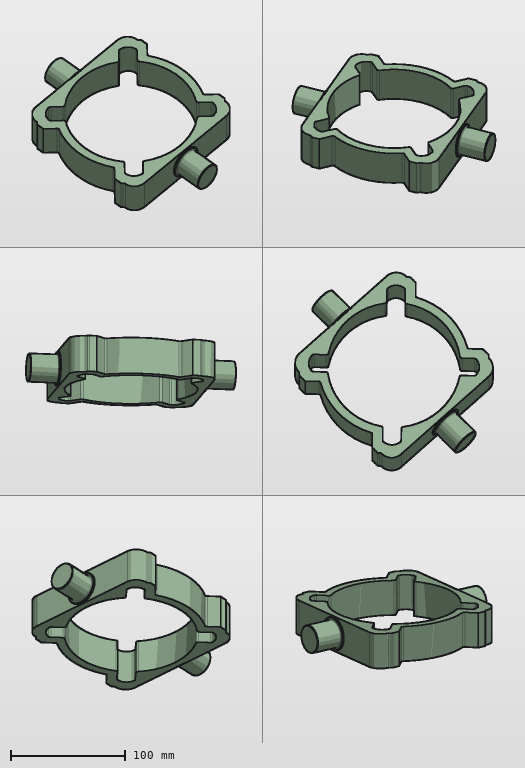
import cadquery as cq
import math

height = 32.0
width = 129.0
length = 133.0
bore_radius = 58.0
rim_radius = 66.0
corner_radius = 12.0
blend_radius = 2.0

slot_width = 16.0
slot_end_diameter = 22.0
slot_corner_fillet = 2.5
slot_wall = 9.0

trunnion_span = 181.8
pin_diameter = 25.0
collar_diameter = 30.0
collar_height = 1.4
collar_chamfer = 0.5
pin_root_fillet = 0.5
pin_tip_chamfer = 0.5

match_tolerance = 0.01

half_width = width / 2
half_length = length / 2
corner_center = half_width - corner_radius
slot_half = slot_width / 2
slot_end_distance = corner_center * math.sqrt(2)
flank_distance = slot_half + slot_wall


def corner_pad():
    """Quarter of the body in +X +Y, with the rounded corner and the raised land."""
    step = half_length - half_width
    turn = math.acos(1 - step / (2 * blend_radius))
    step_run = blend_radius * math.sin(turn)
    step_start = (corner_center, half_width)
    step_middle = (corner_center - step_run, half_width + step / 2)
    land_start = (corner_center - 2 * step_run, half_length)

    flank_offset = flank_distance * math.sqrt(2)
    return (
        cq.Workplane("XY")
        .lineTo(half_width, 0)
        .lineTo(half_width, corner_center)
        .tangentArcPoint(step_start, relative=False)
        .tangentArcPoint(step_middle, relative=False)
        .tangentArcPoint(land_start, relative=False)
        .lineTo(half_length - flank_offset, half_length)
        .lineTo(0, flank_offset)
        .close()
        .extrude(height / 2, both=True)
    )


def fillet_junctions(body, radius, offset):
    """Blend the vertical edges where lines parallel to the diagonals meet a circle."""
    along = math.sqrt(radius**2 - offset**2)
    near_x = (along - offset) / math.sqrt(2)
    near_y = (along + offset) / math.sqrt(2)
    junctions = (
        cq.Workplane("XY")
        .rect(2 * near_x, 2 * near_y)
        .vertices()
        .vals()
    )
    edges = [
        edge
        for edge in body.edges("|Z").vals()
        for junction in junctions
        if (edge.Center() - junction.Center()).Length < match_tolerance
    ]
    return body.newObject(edges).fillet(blend_radius)


def outer_body():
    body = (
        cq.Workplane("XY")
        .circle(rim_radius)
        .extrude(height / 2, both=True)
        .intersect(cq.Workplane("XY").box(width, length, height))
    )
    pad = corner_pad()
    right_pads = pad.union(pad.mirror("XZ"))
    body = body.union(right_pads).union(right_pads.mirror("YZ")).clean()
    return fillet_junctions(body, rim_radius, flank_distance)


def opening():
    """Bore joined with two full-length diagonal slots."""
    cutter = cq.Workplane("XY").circle(bore_radius).extrude(height / 2, both=True)
    end_radius = slot_end_diameter / 2
    end_center = slot_end_distance - end_radius
    shoulder = end_center + math.sqrt(end_radius**2 - slot_half**2)
    slot = (
        cq.Workplane("XY")
        .moveTo(-shoulder, -slot_half)
        .lineTo(shoulder, -slot_half)
        .threePointArc((slot_end_distance, 0), (shoulder, slot_half))
        .lineTo(-shoulder, slot_half)
        .threePointArc((-slot_end_distance, 0), (-shoulder, -slot_half))
        .close()
        .extrude(height / 2, both=True)
        .edges("|Z")
        .fillet(slot_corner_fillet)
    )
    for angle in (45, 135):
        cutter = cutter.union(slot.rotate((0, 0, 0), (0, 0, 1), angle))
    cutter = fillet_junctions(cutter, bore_radius, slot_half)
    return fillet_junctions(cutter, bore_radius, -slot_half)


def trunnion():
    """Collar and pin on the +X face, revolved about the X axis."""
    collar_radius = collar_diameter / 2
    pin_radius = pin_diameter / 2
    collar_face = half_width + collar_height
    tip = trunnion_span / 2
    return (
        cq.Workplane("XY")
        .moveTo(half_width, 0)
        .lineTo(half_width, collar_radius)
        .lineTo(collar_face - collar_chamfer, collar_radius)
        .lineTo(collar_face, collar_radius - collar_chamfer)
        .lineTo(collar_face, pin_radius + pin_root_fillet)
        .radiusArc((collar_face + pin_root_fillet, pin_radius), -pin_root_fillet)
        .lineTo(tip - pin_tip_chamfer, pin_radius)
        .lineTo(tip, pin_radius - pin_tip_chamfer)
        .lineTo(tip, 0)
        .close()
        .revolve(360, (0, 0, 0), (1, 0, 0))
    )


right_trunnion = trunnion()
left_trunnion = right_trunnion.mirror("YZ")
result = outer_body().cut(opening()).union(right_trunnion).union(left_trunnion)